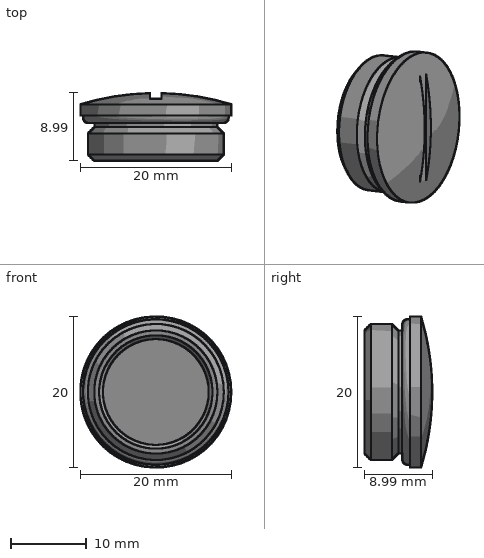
import cadquery as cq

total_height = 9.0
flange_front = 6.0
flange_back = 7.5
ring_front = 5.0
plug_back = 4.5

flange_radius = 10.0
plug_radius = 9.0
neck_radius = 16.3 / 2
plug_chamfer = plug_radius - neck_radius

ring_tube_radius = 1.5 / 2
ring_centre_radius = neck_radius + ring_tube_radius
ring_centre = ring_front + ring_tube_radius
ring_sink = flange_front - ring_centre
ring_flange_radius = ring_centre_radius + (ring_tube_radius**2 - ring_sink**2) ** 0.5

recess_mouth_radius = 7.5
recess_floor_radius = 7.0
recess_depth = 0.5

slot_width = 1.5
slot_depth = slot_width / 2


def dome_height_at(radius):
    """Y of the spherical dome surface at a given distance from the axis."""
    rise = total_height - flange_back
    sphere_radius = (flange_radius**2 + rise**2) / (2 * rise)
    return total_height - sphere_radius + (sphere_radius**2 - radius**2) ** 0.5


def make_body():
    """Revolve the half section, with its recess, about the Y axis."""
    half_radius = flange_radius / 2
    section = (
        cq.Workplane("XY")
        .moveTo(0, recess_depth)
        .lineTo(recess_floor_radius, recess_depth)
        .lineTo(recess_mouth_radius, 0)
        .lineTo(neck_radius, 0)
        .lineTo(plug_radius, plug_chamfer)
        .lineTo(plug_radius, plug_back - plug_chamfer)
        .lineTo(neck_radius, plug_back)
        .lineTo(neck_radius, ring_centre)
        .threePointArc((ring_centre_radius, ring_front), (ring_flange_radius, flange_front))
        .lineTo(flange_radius, flange_front)
        .lineTo(flange_radius, flange_back)
        .threePointArc((half_radius, dome_height_at(half_radius)), (0, total_height))
        .close()
    )
    return section.revolve(360, (0, 0, 0), (0, 1, 0))


def make_slot():
    """Straight slot running along Z through the whole dome."""
    slot = cq.Workplane("XY").box(slot_width, 2 * slot_depth, 2 * flange_radius)
    return slot.translate((0, total_height, 0))


result = make_body().cut(make_slot())